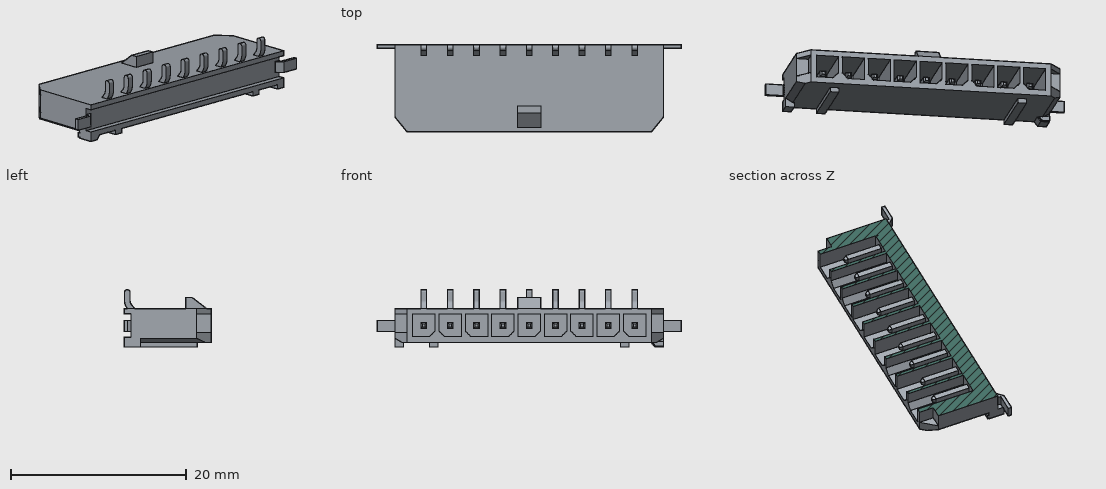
import cadquery as cq
import math


total_length = 34.63
housing_length = 30.58
depth = 9.95
floor_z = 0.52
roof_z = 4.35
total_height = 6.55
half_length = housing_length / 2

corner_x = 1.4
corner_y = 1.7
pocket_bottom_z = 1.65
pocket_top_z = 3.75

edge_slope_width = 0.83
edge_slope_height = 0.5

groove_depth = 0.75
groove_bottom_z = 1.15
groove_top_z = 3.77

contact_row_length = 24.0
contact_size = 0.65

cavity_size = 2.55
cavity_floor_z = 1.18
contact_z = cavity_floor_z + cavity_size / 2
cavity_depth = 6.93
cavity_cut = 0.65
cavity_cut_sides = (1, -1, -1, 1, 1, 1, -1, 1, -1)
pitch = contact_row_length / (len(cavity_cut_sides) - 1)

pin_tip_y = 2.42
pin_taper_length = 0.35
pin_taper_inset = 0.17

overlap = 0.35

tail_setback = 0.05
bend_angle = 40.0
bend_radius = 0.75
bend_top_z = 5.3
buried_tail_length = 1.1

latch_width = 2.63
latch_top_z = 5.65
latch_back_y = 2.95
latch_crest_y = 2.18
latch_front_y = 0.52

foot_width = 1.0
foot_front_y = 8.07
foot_inner_slope = 0.4
foot_pad_inset = 0.1
foot_pad_top_z = 0.62
foot_pad_depth = 0.2
rib_width = 1.0
rib_center_x = 10.87
rib_front_y = 1.6

nail_thickness = 0.4
nail_bottom_z = 1.75
nail_top_z = 3.05
nail_jog = 0.65
nail_buried_length = 0.52


def block(x0, x1, y0, y1, z0, z1):
    """Box between two opposite corners."""
    return cq.Workplane("XY").box(x1 - x0, y1 - y0, z1 - z0, centered=False).translate((x0, y0, z0))


def extrude_along_y(points, y0, y1):
    """Prism with an XZ outline, running from y0 to y1."""
    return cq.Workplane("XZ", origin=(0, y0, 0)).polyline(points).close().extrude(y0 - y1)


def mirrored_pair(shape):
    """The shape and its mirror image on the other end of the housing."""
    return shape.union(shape.mirror("YZ"))


def housing():
    plan = [
        (-half_length, depth),
        (-half_length, corner_y),
        (-half_length + corner_x, 0),
        (half_length - corner_x, 0),
        (half_length, corner_y),
        (half_length, depth),
    ]
    body = cq.Workplane("XY", origin=(0, 0, floor_z)).polyline(plan).close().extrude(roof_z - floor_z)
    lower_edge = extrude_along_y(
        [
            (-half_length, floor_z),
            (-half_length + edge_slope_width, floor_z),
            (-half_length, floor_z + edge_slope_height),
        ],
        0,
        foot_front_y,
    )
    corner_pocket = block(
        -half_length, -half_length + corner_x, 0, corner_y, pocket_bottom_z, pocket_top_z
    )
    return body.cut(mirrored_pair(lower_edge)).cut(mirrored_pair(corner_pocket))


def back_groove():
    return block(-half_length, half_length, depth - groove_depth, depth, groove_bottom_z, groove_top_z)


def cavity(x, cut_side):
    half = cavity_size / 2
    outline = [
        (-half, half),
        (half, half),
        (half, -half + cavity_cut),
        (half - cavity_cut, -half),
        (-half, -half),
    ]
    placed = [(x + cut_side * px, contact_z + pz) for px, pz in outline]
    return extrude_along_y(placed, 0, cavity_depth)


def contact_pin(x):
    """Square pin standing on the cavity end wall, tapered at its tip."""
    shank_start_y = pin_tip_y + pin_taper_length
    half = contact_size / 2
    shank = block(
        x - half, x + half, shank_start_y, cavity_depth + overlap, contact_z - half, contact_z + half
    )
    tip_size = contact_size - 2 * pin_taper_inset
    taper = (
        cq.Workplane("XZ", origin=(x, shank_start_y, contact_z))
        .rect(contact_size, contact_size)
        .workplane(offset=pin_taper_length)
        .rect(tip_size, tip_size)
        .loft(combine=True)
    )
    return shank.union(taper)


def solder_tail(x):
    """Upright tail with a round end, bent forward into the housing roof."""
    angle = math.radians(bend_angle)
    back_y = depth - tail_setback
    front_y = back_y - contact_size
    center_y = front_y - bend_radius
    outer_radius = bend_radius + contact_size
    end_radius = contact_size / 2

    def on_bend(radius, turn):
        return (center_y + radius * math.cos(turn), bend_top_z - radius * math.sin(turn))

    def buried_end(radius):
        y, z = on_bend(radius, angle)
        return (y - buried_tail_length * math.sin(angle), z - buried_tail_length * math.cos(angle))

    return (
        cq.Workplane("YZ", origin=(x - contact_size / 2, 0, 0))
        .moveTo(front_y, bend_top_z)
        .lineTo(front_y, total_height - end_radius)
        .threePointArc((back_y - end_radius, total_height), (back_y, total_height - end_radius))
        .lineTo(back_y, bend_top_z)
        .threePointArc(on_bend(outer_radius, angle / 2), on_bend(outer_radius, angle))
        .lineTo(*buried_end(outer_radius))
        .lineTo(*buried_end(bend_radius))
        .lineTo(*on_bend(bend_radius, angle))
        .threePointArc(on_bend(bend_radius, angle / 2), (front_y, bend_top_z))
        .close()
        .extrude(contact_size)
    )


def latch():
    side = [
        (latch_back_y, roof_z - overlap),
        (latch_back_y, latch_top_z),
        (latch_crest_y, latch_top_z),
        (latch_front_y, roof_z),
        (latch_front_y, roof_z - overlap),
    ]
    return cq.Workplane("YZ", origin=(-latch_width / 2, 0, 0)).polyline(side).close().extrude(latch_width)


def left_foot():
    return block(-half_length, -half_length + foot_width, foot_front_y, depth, 0, floor_z)


def right_foot():
    """Foot with a sloped inner side and a raised pad on its front face."""
    bottom_inner_x = half_length - foot_width
    slope_run = foot_inner_slope / floor_z
    foot = extrude_along_y(
        [
            (half_length, 0),
            (bottom_inner_x, 0),
            (bottom_inner_x - foot_inner_slope, floor_z),
            (half_length, floor_z),
        ],
        foot_front_y,
        depth,
    )
    pad_inner_x = bottom_inner_x + foot_pad_inset
    pad_height = foot_pad_top_z - foot_pad_inset
    pad = extrude_along_y(
        [
            (half_length, foot_pad_inset),
            (pad_inner_x, foot_pad_inset),
            (pad_inner_x - pad_height * slope_run, foot_pad_top_z),
            (half_length, foot_pad_top_z),
        ],
        foot_front_y - foot_pad_depth,
        foot_front_y,
    )
    return foot.union(pad)


def standoff_rib():
    inner_x = rib_center_x - rib_width / 2
    return block(inner_x, inner_x + rib_width, rib_front_y, depth, 0, floor_z)


def solder_nail():
    """Flat strip along the back that jogs forward into the wall of the groove."""
    outer_x = total_length / 2
    jog_end_x = half_length - nail_jog
    front_y = depth - nail_thickness
    plan = [
        (outer_x, depth),
        (half_length, depth),
        (jog_end_x, depth - nail_jog),
        (jog_end_x, depth - groove_depth - nail_buried_length),
        (jog_end_x + nail_thickness, depth - groove_depth - nail_buried_length),
        (half_length, front_y),
        (outer_x, front_y),
    ]
    return (
        cq.Workplane("XY", origin=(0, 0, nail_bottom_z))
        .polyline(plan)
        .close()
        .extrude(nail_top_z - nail_bottom_z)
    )


result = housing().cut(back_groove())
result = result.union(left_foot()).union(right_foot())
result = result.union(mirrored_pair(standoff_rib())).union(latch())

for index, cut_side in enumerate(cavity_cut_sides):
    contact_x = index * pitch - contact_row_length / 2
    result = result.cut(cavity(contact_x, cut_side))
    result = result.union(contact_pin(contact_x)).union(solder_tail(contact_x))

result = result.union(mirrored_pair(solder_nail()))